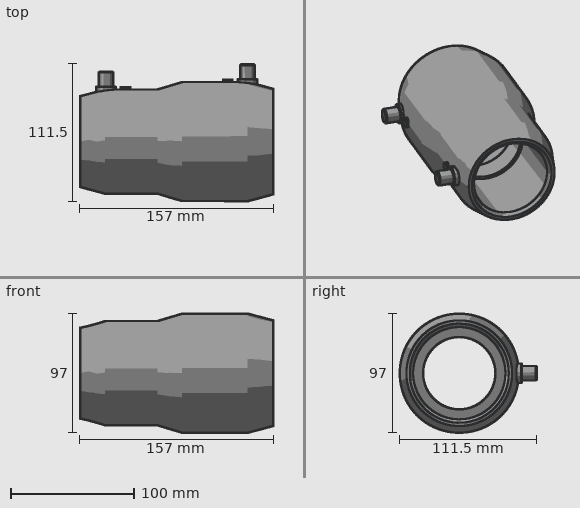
import cadquery as cq
import math


length = 157.0
large_radius = 48.5
small_radius = 42.5
end_taper_length = 20.6
end_taper_angle = 15.0
step_start = 63.0
step_end = 83.0
end_drop = end_taper_length * math.tan(math.radians(end_taper_angle))

small_socket_radius = 31.4
large_socket_radius = 37.5
stop_radius = 29.3
mouth_chamfer = 2.8

terminal_inset = 21.0
terminal_radius = 6.0
terminal_height = 14.5
terminal_tip_chamfer = 1.0
collar_radius = 8.0
collar_height = 2.3
collar_chamfer = 0.5
indicator_radius = 4.0
indicator_height = 1.9
indicator_spacing = 16.0
embed_depth = 6.0


def make_body():
    """Revolve the outer outline about the X axis."""
    outline = [
        (0, 0),
        (0, small_radius - end_drop),
        (end_taper_length, small_radius),
        (step_start, small_radius),
        (step_end, large_radius),
        (length - end_taper_length, large_radius),
        (length, large_radius - end_drop),
        (length, 0),
    ]
    return cq.Workplane("XY").polyline(outline).close().revolve(360, (0, 0, 0), (1, 0, 0))


def make_bore():
    """Revolve both sockets, their mouth chamfers and the stop bore."""
    outline = [
        (0, 0),
        (0, small_socket_radius + mouth_chamfer),
        (mouth_chamfer, small_socket_radius),
        (step_start, small_socket_radius),
        (step_start, stop_radius),
        (step_end, stop_radius),
        (step_end, large_socket_radius),
        (length - mouth_chamfer, large_socket_radius),
        (length, large_socket_radius + mouth_chamfer),
        (length, 0),
    ]
    return cq.Workplane("XY").polyline(outline).close().revolve(360, (0, 0, 0), (1, 0, 0))


def make_post(x, surface_radius, post_radius, height):
    """Cylinder along +Y, rooted in the wall and rising above the surface."""
    root = cq.Workplane("XZ", origin=(x, surface_radius - embed_depth, 0))
    return root.circle(post_radius).extrude(-(embed_depth + height))


def make_fittings(terminal_x, indicator_x, surface_radius):
    """Terminal with its collar, and the indicator beside it."""
    terminal = make_post(terminal_x, surface_radius, terminal_radius, terminal_height)
    terminal = terminal.faces(">Y").chamfer(terminal_tip_chamfer)
    collar = make_post(terminal_x, surface_radius, collar_radius, collar_height)
    collar = collar.faces(">Y").chamfer(collar_chamfer)
    indicator = make_post(indicator_x, surface_radius, indicator_radius, indicator_height)
    return terminal.union(collar).union(indicator)


small_terminal_x = terminal_inset
large_terminal_x = length - terminal_inset
small_fittings = make_fittings(small_terminal_x, small_terminal_x + indicator_spacing, small_radius)
large_fittings = make_fittings(large_terminal_x, large_terminal_x - indicator_spacing, large_radius)

result = make_body().union(small_fittings).union(large_fittings).cut(make_bore())